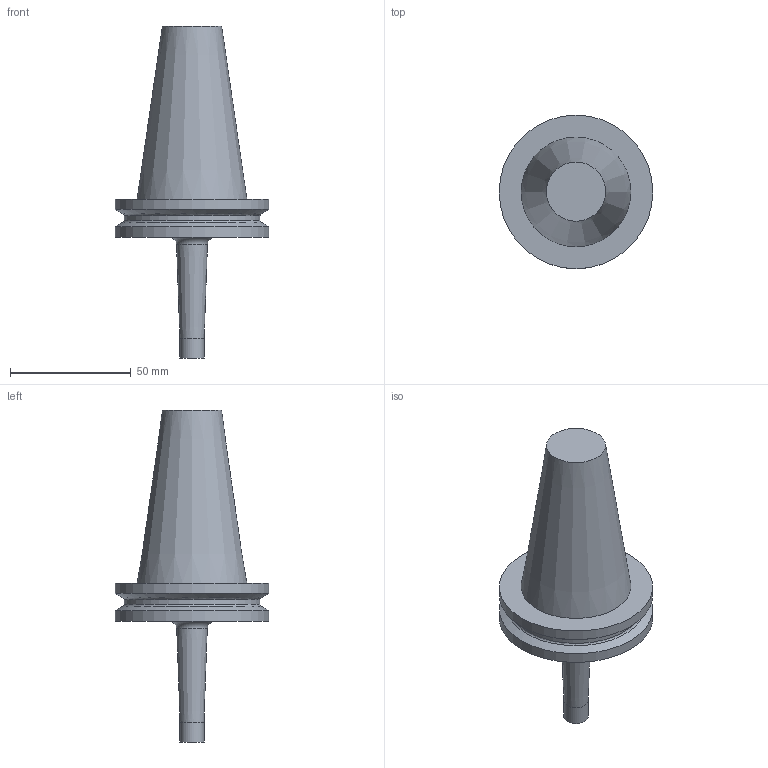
import cadquery as cq
import math


GAUGE_DIAMETER = 44.45
TAPER_RATIO = 7 / 24
TAPER_LENGTH = 68.4

FLANGE_DIAMETER = 63.55
FLANGE_TOP_Z = -3.2
FLANGE_BOTTOM_Z = -19.1

GROOVE_DIAMETER = 56.25
GROOVE_OPENING = 7.15
GROOVE_CENTRE_Z = -11.1
GROOVE_WALL_ANGLE = 30
GROOVE_FILLET = 1.0

NOSE_END_Z = -69.0
TIP_DIAMETER = 10.0
TIP_LENGTH = 8.0
NOSE_ROOT_DIAMETER = 13.0
NOSE_FILLET = 3.0

flange_radius = FLANGE_DIAMETER / 2
groove_radius = GROOVE_DIAMETER / 2
tip_radius = TIP_DIAMETER / 2
tip_top_z = NOSE_END_Z + TIP_LENGTH
groove_wall_rise = (flange_radius - groove_radius) * math.tan(math.radians(GROOVE_WALL_ANGLE))
half_opening = GROOVE_OPENING / 2
half_floor = half_opening - groove_wall_rise
nose_root_radius = NOSE_ROOT_DIAMETER / 2


def taper_radius(z):
    """Radius of the spindle taper at height z."""
    return (GAUGE_DIAMETER - TAPER_RATIO * z) / 2


def circle_edge_selector(radius, z):
    """Box selector that catches the circular edge centred on the axis at height z."""
    reach = radius + 0.1
    half_height = 0.05
    return cq.selectors.BoxSelector(
        (-reach, -reach, z - half_height),
        (reach, reach, z + half_height),
        boundingbox=True,
    )


def turned_blank():
    """Half profile in the XZ plane, revolved about Z, with sharp corners."""
    profile = [
        (0, TAPER_LENGTH),
        (taper_radius(TAPER_LENGTH), TAPER_LENGTH),
        (taper_radius(FLANGE_TOP_Z), FLANGE_TOP_Z),
        (flange_radius, FLANGE_TOP_Z),
        (flange_radius, GROOVE_CENTRE_Z + half_opening),
        (groove_radius, GROOVE_CENTRE_Z + half_floor),
        (groove_radius, GROOVE_CENTRE_Z - half_floor),
        (flange_radius, GROOVE_CENTRE_Z - half_opening),
        (flange_radius, FLANGE_BOTTOM_Z),
        (nose_root_radius, FLANGE_BOTTOM_Z),
        (tip_radius, tip_top_z),
        (tip_radius, NOSE_END_Z),
        (0, NOSE_END_Z),
    ]
    half_profile = cq.Workplane("XZ").polyline(profile).close()
    return half_profile.revolve(360, (0, 0, 0), (0, 1, 0))


def round_groove_floor(body):
    """Fillet both corners between the groove floor and its walls."""
    for side in (1, -1):
        corner = circle_edge_selector(groove_radius, GROOVE_CENTRE_Z + side * half_floor)
        body = body.edges(corner).fillet(GROOVE_FILLET)
    return body


def round_nose_root(body):
    """Fillet the corner where the nose meets the flange."""
    corner = circle_edge_selector(nose_root_radius, FLANGE_BOTTOM_Z)
    return body.edges(corner).fillet(NOSE_FILLET)


result = round_nose_root(round_groove_floor(turned_blank()))